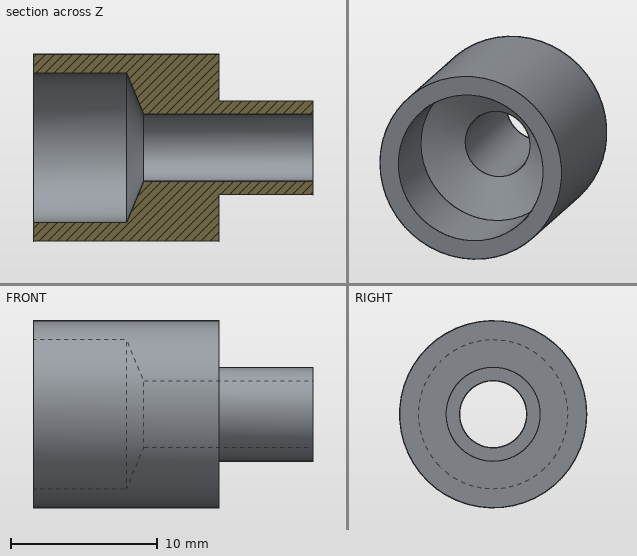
import cadquery as cq
import math

total_length = 19.05
body_diameter = 12.75
stem_diameter = 6.4
stem_length = 6.4
socket_diameter = 10.16
socket_depth = 6.35
bore_diameter = 4.55
funnel_angle = 135.0

shoulder_x = total_length - stem_length
funnel_slope = math.tan(math.radians(funnel_angle / 2))
funnel_length = (socket_diameter - bore_diameter) / 2 / funnel_slope
funnel_end_x = socket_depth + funnel_length

body_radius = body_diameter / 2
stem_radius = stem_diameter / 2
socket_radius = socket_diameter / 2
bore_radius = bore_diameter / 2


def make_stepped_sleeve():
    """Revolve the wall section of the sleeve a full turn about the X axis."""
    wall_section = (
        cq.Workplane("XY")
        .moveTo(0, socket_radius)
        .lineTo(0, body_radius)
        .lineTo(shoulder_x, body_radius)
        .lineTo(shoulder_x, stem_radius)
        .lineTo(total_length, stem_radius)
        .lineTo(total_length, bore_radius)
        .lineTo(funnel_end_x, bore_radius)
        .lineTo(socket_depth, socket_radius)
        .close()
    )
    return wall_section.revolve(360, (0, 0, 0), (1, 0, 0))


result = make_stepped_sleeve()